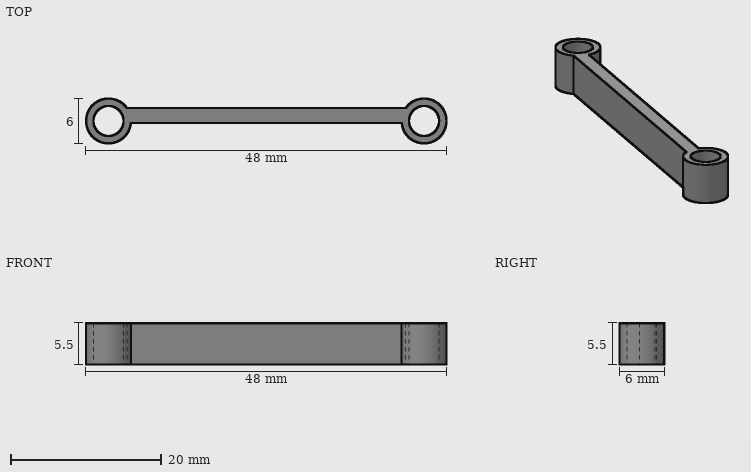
import cadquery as cq

length = 48.0
height = 5.5
eye_diameter = 6.0
bore_diameter = 4.0

web_back = 1.75
web_thickness = 2.0

bore_spacing = length - eye_diameter
web_center_y = web_back - web_thickness / 2
bore_centers = [(-bore_spacing / 2, 0), (bore_spacing / 2, 0)]


def cylinders(diameter):
    """Full-height upright cylinders on both bore axes."""
    return cq.Workplane("XY").pushPoints(bore_centers).circle(diameter / 2).extrude(height)


web = (
    cq.Workplane("XY")
    .center(0, web_center_y)
    .rect(bore_spacing, web_thickness)
    .extrude(height)
)

result = web.union(cylinders(eye_diameter)).cut(cylinders(bore_diameter))